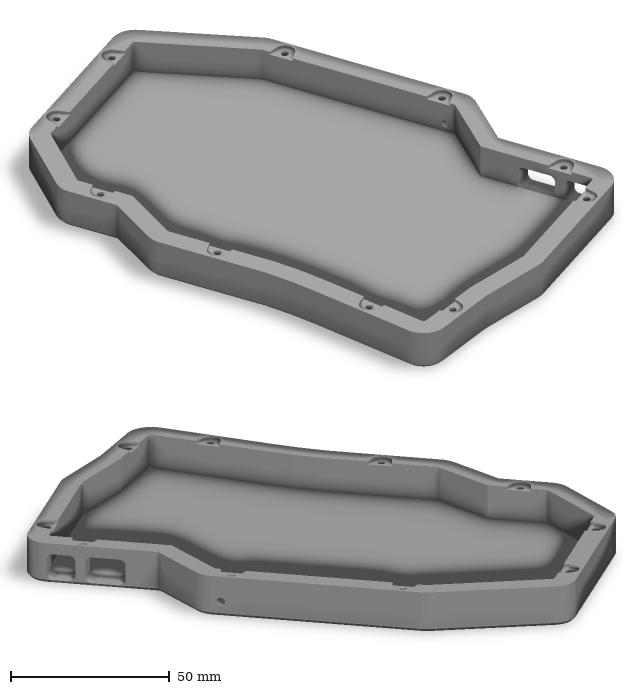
import cadquery as cq
import math

length_x = 177.85
length_y = 126.75
height = 13.3

wall = 6.85
floor = 2.0
corner_radius = 1.15
bottom_chamfer = 1.0

pocket_left = wall
pocket_right = length_x - wall
pocket_back = length_y - wall
port_wall_y = 102.6
left_front_y = 28.2
middle_front_y = 15.6

thumb_tilt = math.radians(10)
thumb_corner = (159.75, 6.67)
thumb_side_rise = 23.4
thumb_end_x = thumb_corner[0] + thumb_side_rise * math.tan(thumb_tilt)
thumb_end_y = thumb_corner[1] + thumb_side_rise
thumb_start_x = 121.6
thumb_start_y = thumb_corner[1] + (thumb_corner[0] - thumb_start_x) * math.tan(thumb_tilt)

blend_start_x = 102.2
blend_middle = (112.0, 14.8)

screw_diameter = 2.5
recess_radius = 3.3
recess_taper = math.radians(14)
recess_depth = 1.0
recess_reach = 4.0
screw_inset = 4.25

screws = [
    (screw_inset, 95.65, 0),
    (screw_inset, 57.2, 0),
    (35.7, 25.85, 90),
    (83.4, 13.15, 90),
    (139.9, 7.5, 90 - math.degrees(thumb_tilt)),
    (164.0, 18.2, 180 - math.degrees(thumb_tilt)),
    (length_x - screw_inset, 92.75, 180),
    (159.1, port_wall_y + wall - screw_inset, 270),
    (107.3, length_y - screw_inset, 270),
    (51.8, length_y - screw_inset, 270),
]

ports = [(144.4, 157.4), (160.7, 169.85)]
port_bottom = 1.0
port_top = 9.7
port_corner_radius = 2.0

pin_hole_diameter = 2.6
pin_hole_x = 109.8
pin_hole_z = 4.9


def pocket_corners():
    """Sharp corners of the pocket, clockwise from the back-left one."""
    return [
        (pocket_left, 105.6),
        (44.9, pocket_back),
        (113.2, pocket_back),
        (131.1, port_wall_y),
        (pocket_right, port_wall_y),
        (pocket_right, 53.7),
        (thumb_end_x, thumb_end_y),
        thumb_corner,
        (thumb_start_x, thumb_start_y),
        blend_middle,
        (blend_start_x, middle_front_y),
        (64.7, middle_front_y),
        (45.75, left_front_y),
        (26.3, left_front_y),
        (pocket_left, 47.7),
    ]


def make_tray():
    """Chamfered body with the pocket; pocket and outer wall are offsets of one core outline."""
    core = cq.Workplane("XY").polyline(pocket_corners()).close().offset2D(-corner_radius, "intersection")
    core_wire = core.val()
    outer_wire = core_wire.offset2D(corner_radius + wall, "arc")[0]
    pocket_wire = core_wire.offset2D(corner_radius, "arc")[0]
    body = cq.Workplane("XY").add(outer_wire).toPending().extrude(height)
    body = body.faces("<Z").chamfer(bottom_chamfer)
    pocket = cq.Workplane("XY").add(pocket_wire).toPending().extrude(height)
    return body.cut(pocket.translate((0, 0, floor)))


def screw_cutter(x, y, direction):
    """Through hole plus a shallow round-ended recess that widens towards the pocket."""
    tangent_x = -recess_radius * math.sin(recess_taper)
    tangent_y = recess_radius * math.cos(recess_taper)
    mouth_y = tangent_y + (recess_reach - tangent_x) * math.tan(recess_taper)
    recess = (
        cq.Workplane("XY", origin=(0, 0, height - recess_depth))
        .moveTo(recess_reach, -mouth_y)
        .lineTo(recess_reach, mouth_y)
        .lineTo(tangent_x, tangent_y)
        .threePointArc((-recess_radius, 0), (tangent_x, -tangent_y))
        .close()
        .extrude(recess_depth)
    )
    hole = cq.Workplane("XY").circle(screw_diameter / 2).extrude(height)
    return recess.union(hole).rotate((0, 0, 0), (0, 0, 1), direction).translate((x, y, 0))


def port_cutter(left, right):
    """Rounded rectangular opening through the port wall."""
    cutter = cq.Workplane("XY").box(right - left, wall, port_top - port_bottom, centered=False)
    cutter = cutter.edges("|Y").fillet(port_corner_radius)
    return cutter.translate((left, port_wall_y, port_bottom))


def pin_hole_cutter():
    """Round hole along Y through the back wall."""
    return (
        cq.Workplane("XZ", origin=(pin_hole_x, length_y, pin_hole_z))
        .circle(pin_hole_diameter / 2)
        .extrude(wall)
    )


result = make_tray()
for screw in screws:
    result = result.cut(screw_cutter(*screw))
for port in ports:
    result = result.cut(port_cutter(*port))
result = result.cut(pin_hole_cutter())